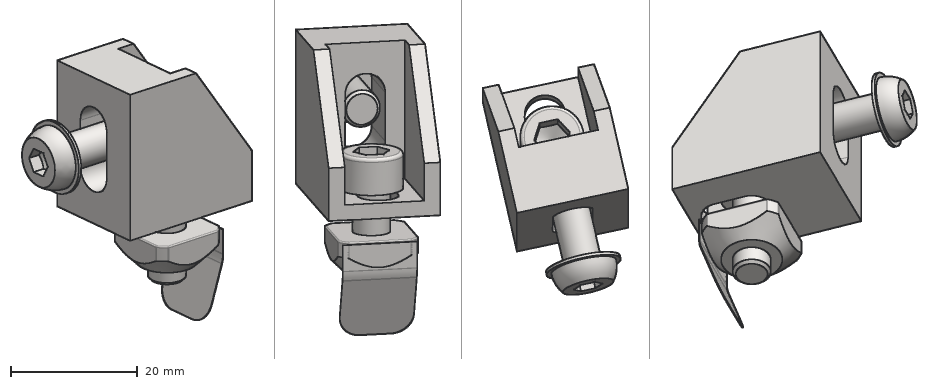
import cadquery as cq
import math


HOUSING_WIDTH = 18.0
HOUSING_SIZE = 25.0
TOP_DEPTH = 13.55
SLOPE_ANGLE = 55.0
RECESS_WIDTH = 12.8
FRONT_WALL = 10.4
FLOOR = 2.5
SLOT_WIDTH = 6.45
FRONT_SLOT_LOW = 5.5
FRONT_SLOT_HIGH = 19.9
FLOOR_SLOT_BACK = 23.3

SHANK_DIAMETER = 6.0
SCREW_LENGTH = 16.0
TIP_CHAMFER = 0.5
SOCKET_CONE_ANGLE = 30.0

BUTTON_Z = 13.55
BUTTON_RADIUS = 5.25
BUTTON_HEIGHT = 3.3
BUTTON_SOCKET = 4.0
BUTTON_SOCKET_DEPTH = 2.0
WASHER_DIAMETER = 12.0
WASHER_THICKNESS = 0.5
WASHER_GAP = 7.5

CAP_Y = 15.05
CAP_DIAMETER = 10.0
CAP_HEIGHT = 6.0
CAP_FILLET = 0.6
CAP_SOCKET = 5.0
CAP_SOCKET_DEPTH = 3.0

NUT_WIDTH = 12.95
NUT_DIAMETER = 16.45
NUT_TOP = -4.5
NUT_HEIGHT = 5.95
NUT_BOTTOM_DIAMETER = 9.65
NUT_FILLET = 0.25

SPRING_WIDTH = 12.0
SPRING_THICKNESS = 0.15
SPRING_TOP = -4.9
SPRING_TIP = -20.55
SPRING_BEND_START = -9.15
SPRING_BEND_RADIUS = 5.0
SPRING_ANGLE = 18.0
SPRING_CORNER = 3.5


def make_housing():
    """Block with a sloping back, a recess that also clears the cap head, and two slots."""
    slope_drop = (HOUSING_SIZE - TOP_DEPTH) * math.tan(math.radians(SLOPE_ANGLE))
    block = (
        cq.Workplane("YZ")
        .polyline([
            (0, 0),
            (HOUSING_SIZE, 0),
            (HOUSING_SIZE, HOUSING_SIZE - slope_drop),
            (TOP_DEPTH, HOUSING_SIZE),
            (0, HOUSING_SIZE),
        ])
        .close()
        .extrude(HOUSING_WIDTH / 2, both=True)
    )
    recess = cq.Workplane("XY", origin=(0, FRONT_WALL, FLOOR)).box(
        RECESS_WIDTH, HOUSING_SIZE, HOUSING_SIZE, centered=(True, False, False)
    )
    head_pocket = cq.Workplane("XY", origin=(0, CAP_Y, FLOOR)).circle(CAP_DIAMETER / 2).extrude(CAP_HEIGHT)
    front_slot = (
        cq.Workplane("XZ")
        .center(0, (FRONT_SLOT_LOW + FRONT_SLOT_HIGH) / 2)
        .slot2D(FRONT_SLOT_HIGH - FRONT_SLOT_LOW, SLOT_WIDTH, 90)
        .extrude(-FRONT_WALL)
    )
    floor_slot_front = CAP_Y - SLOT_WIDTH / 2
    floor_slot = (
        cq.Workplane("XY")
        .center(0, (floor_slot_front + FLOOR_SLOT_BACK) / 2)
        .slot2D(FLOOR_SLOT_BACK - floor_slot_front, SLOT_WIDTH, 90)
        .extrude(FLOOR)
    )
    return block.cut(recess).cut(head_pocket).cut(front_slot).cut(floor_slot)


def make_shank():
    """Screw shank with a chamfered tip, hanging down from the origin."""
    return (
        cq.Workplane("XY")
        .circle(SHANK_DIAMETER / 2)
        .extrude(-SCREW_LENGTH)
        .faces("<Z")
        .chamfer(TIP_CHAMFER)
    )


def make_socket(head_height, across_flats, depth):
    """Hexagon socket with a conical bottom, sunk into a head from its top."""
    corner_radius = across_flats / math.sqrt(3)
    cone_depth = corner_radius * math.tan(math.radians(SOCKET_CONE_ANGLE))
    corner_level = head_height - depth
    envelope = (
        cq.Workplane("XZ")
        .polyline([
            (0, corner_level - cone_depth),
            (corner_radius, corner_level),
            (corner_radius, head_height),
            (0, head_height),
        ])
        .close()
        .revolve()
    )
    hexagon = (
        cq.Workplane("XY", origin=(0, 0, head_height))
        .polygon(6, 2 * corner_radius)
        .extrude(-depth - cone_depth)
    )
    return hexagon.intersect(envelope)


def make_button_screw():
    """Screw along Y whose head is a slice of a sphere, with the washer under the head."""
    top_radius = math.sqrt(BUTTON_RADIUS**2 - BUTTON_HEIGHT**2)
    half_height = BUTTON_HEIGHT / 2
    half_height_radius = math.sqrt(BUTTON_RADIUS**2 - half_height**2)
    head = (
        cq.Workplane("XZ")
        .moveTo(0, 0)
        .lineTo(BUTTON_RADIUS, 0)
        .threePointArc((half_height_radius, half_height), (top_radius, BUTTON_HEIGHT))
        .lineTo(0, BUTTON_HEIGHT)
        .close()
        .revolve()
    )
    socket = make_socket(BUTTON_HEIGHT, BUTTON_SOCKET, BUTTON_SOCKET_DEPTH)
    return (
        head.union(make_shank())
        .cut(socket)
        .rotate((0, 0, 0), (1, 0, 0), 90)
        .translate((0, -WASHER_GAP - WASHER_THICKNESS, BUTTON_Z))
    )


def make_washer():
    """Flat washer under the button head."""
    return (
        cq.Workplane("XZ", origin=(0, -WASHER_GAP, BUTTON_Z))
        .circle(WASHER_DIAMETER / 2)
        .circle(SHANK_DIAMETER / 2)
        .extrude(WASHER_THICKNESS)
    )


def make_cap_screw():
    """Screw along Z with a cylindrical head on the recess floor."""
    head = (
        cq.Workplane("XY")
        .circle(CAP_DIAMETER / 2)
        .extrude(CAP_HEIGHT)
        .faces(">Z")
        .edges()
        .fillet(CAP_FILLET)
    )
    socket = make_socket(CAP_HEIGHT, CAP_SOCKET, CAP_SOCKET_DEPTH)
    return head.union(make_shank()).cut(socket).translate((0, CAP_Y, FLOOR))


def make_nut():
    """Square nut with round corners, tapering in a cone towards its underside."""
    bottom_radius = NUT_BOTTOM_DIAMETER / 2
    corner_radius = NUT_DIAMETER / 2
    envelope = (
        cq.Workplane("XZ")
        .polyline([
            (0, -NUT_HEIGHT),
            (bottom_radius, -NUT_HEIGHT),
            (corner_radius, -NUT_HEIGHT + corner_radius - bottom_radius),
            (corner_radius, 0),
            (0, 0),
        ])
        .close()
        .revolve()
    )
    prism = (
        cq.Workplane("XY")
        .rect(NUT_WIDTH, NUT_WIDTH)
        .extrude(-NUT_HEIGHT)
        .intersect(cq.Workplane("XY").circle(corner_radius).extrude(-NUT_HEIGHT))
        .edges("|Z")
        .fillet(NUT_FILLET)
        .faces(">Z")
        .edges()
        .fillet(NUT_FILLET)
    )
    hole = cq.Workplane("XY").circle(SHANK_DIAMETER / 2).extrude(-NUT_HEIGHT)
    return prism.intersect(envelope).cut(hole).translate((0, CAP_Y, NUT_TOP))


def make_spring():
    """Thin strip against the back of the nut, bent forward into a leaf with round corners."""
    inner_y = CAP_Y + NUT_WIDTH / 2
    outer_y = inner_y + SPRING_THICKNESS
    bend_y = inner_y - SPRING_BEND_RADIUS
    outer_radius = SPRING_BEND_RADIUS + SPRING_THICKNESS

    def bend_point(radius, degrees):
        angle = math.radians(degrees)
        return (bend_y + radius * math.cos(angle), SPRING_BEND_START - radius * math.sin(angle))

    outer_end = bend_point(outer_radius, SPRING_ANGLE)
    inner_end = bend_point(SPRING_BEND_RADIUS, SPRING_ANGLE)
    leaf_drop = outer_end[1] - SPRING_TIP
    leaf_run = leaf_drop * math.tan(math.radians(SPRING_ANGLE))
    return (
        cq.Workplane("YZ")
        .moveTo(inner_y, SPRING_TOP)
        .lineTo(outer_y, SPRING_TOP)
        .lineTo(outer_y, SPRING_BEND_START)
        .threePointArc(bend_point(outer_radius, SPRING_ANGLE / 2), outer_end)
        .lineTo(outer_end[0] - leaf_run, SPRING_TIP)
        .lineTo(inner_end[0] - leaf_run, inner_end[1] - leaf_drop)
        .lineTo(*inner_end)
        .threePointArc(bend_point(SPRING_BEND_RADIUS, SPRING_ANGLE / 2), (inner_y, SPRING_BEND_START))
        .close()
        .extrude(SPRING_WIDTH / 2, both=True)
        .faces("<Z")
        .edges("not |X")
        .fillet(SPRING_CORNER)
    )


housing = make_housing()
button_screw = make_button_screw()
washer = make_washer()
cap_screw = make_cap_screw()
nut = make_nut()
spring = make_spring()

result = cq.Compound.makeCompound([
    housing.val(),
    button_screw.val(),
    washer.val(),
    cap_screw.val(),
    nut.val(),
    spring.val(),
])